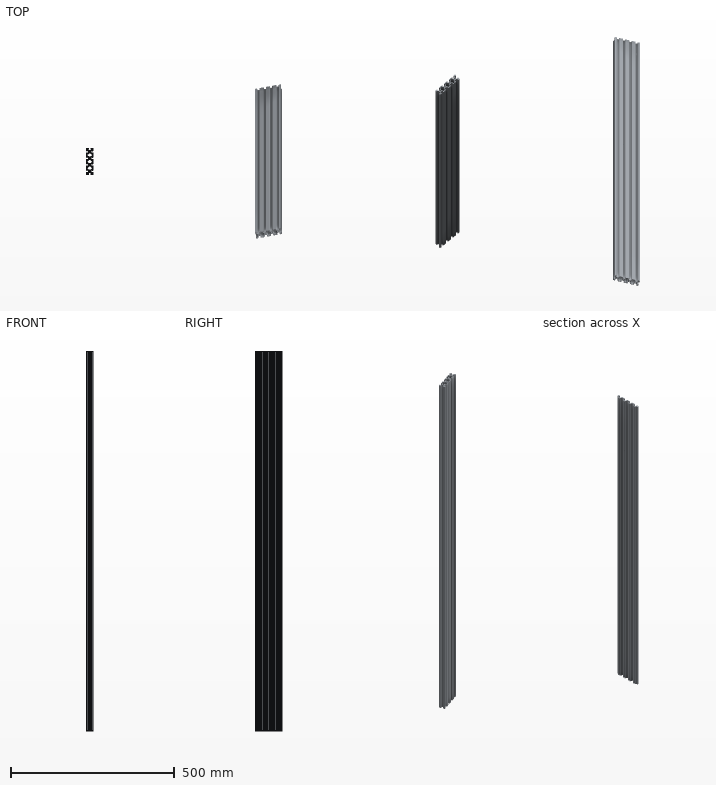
import cadquery as cq

length = 1160.0
long_side = 80.0
cell_count = 4
cell = long_side / cell_count
half_cell = cell / 2

bore_diameter = 4.2
corner_radius = 0.5
lip_thickness = 1.9
core_width = 7.8
rib_thickness = 1.5

guide_depth = 0.2

mouth_width = 9.2
throat_width = 6.3
channel_width = 11.0

cavity_end_width = 5.5

rib_offset = rib_thickness / 2 * 2**0.5

half_core = core_width / 2
lip_inside = half_cell - lip_thickness


def mirrored_polygon(half_outline):
    """Close an outline given on the +Y side by mirroring it to the -Y side."""
    other_half = [(x, -y) for x, y in reversed(half_outline) if y > 0]
    return cq.Workplane("XY").polyline(half_outline + other_half).close()


def slot(center_y, angle):
    """V-slot cutter for a cell at center_y, opening toward +X before it is turned by angle."""
    half_mouth = mouth_width / 2
    half_throat = throat_width / 2
    half_channel = channel_width / 2
    flank_depth = half_mouth - half_throat
    profile = mirrored_polygon([
        (half_core - guide_depth, 0),
        (half_core, guide_depth),
        (half_core, half_core - rib_offset),
        (half_channel + rib_offset, half_channel),
        (lip_inside, half_channel),
        (lip_inside, half_throat),
        (half_cell - flank_depth, half_throat),
        (half_cell, half_mouth),
    ])
    cutter = profile.extrude(length)
    return cutter.rotate((0, 0, 0), (0, 0, 1), angle).translate((0, center_y, 0))


def cavity(center_y):
    """Closed chamber between two neighbouring cells, bounded by their diagonal ribs."""
    half_middle = half_cell - half_core
    half_end = cavity_end_width / 2
    rib_start = half_core - rib_offset
    rib_end = half_cell - half_end - rib_offset
    profile = mirrored_polygon([
        (-lip_inside, half_end),
        (-rib_end, half_end),
        (-rib_start, half_middle),
        (rib_start, half_middle),
        (rib_end, half_end),
        (lip_inside, half_end),
    ])
    return profile.extrude(length).translate((0, center_y, 0))


cell_centers = [half_cell + i * cell - long_side / 2 for i in range(cell_count)]

result = cq.Workplane("XY").rect(cell, long_side).extrude(length)
result = result.edges("|Z").fillet(corner_radius)

for center_y in cell_centers:
    result = result.cut(slot(center_y, 0))
    result = result.cut(slot(center_y, 180))
    bore = cq.Workplane("XY").center(0, center_y).circle(bore_diameter / 2).extrude(length)
    result = result.cut(bore)

result = result.cut(slot(cell_centers[0], -90))
result = result.cut(slot(cell_centers[-1], 90))

for center_y in cell_centers[:-1]:
    result = result.cut(cavity(center_y + half_cell))